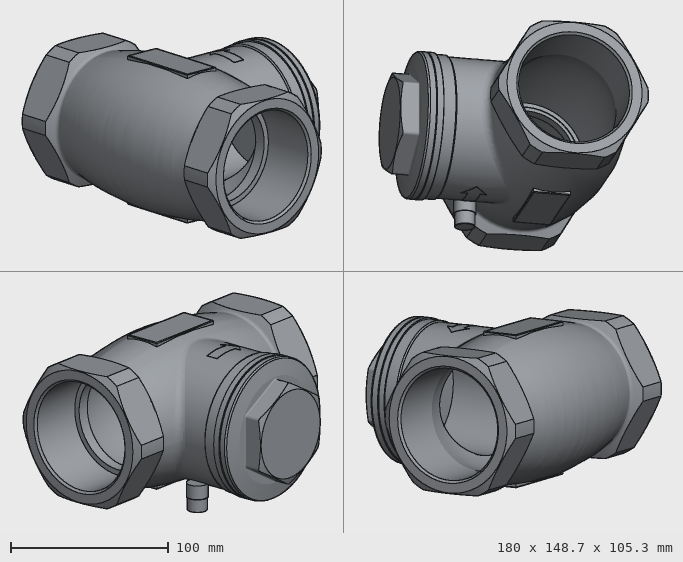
import cadquery as cq
import math

LENGTH = 180.0
HALF_LENGTH = LENGTH / 2
HEX_HALF_ANGLE = 30.0

HEX_FLATS = 88.7
HEX_CORNER_R = 48.8
HEX_FACE_R = 44.0
CHAMFER_ANGLE = 30.0
CHAMFER_SLOPE = math.tan(math.radians(CHAMFER_ANGLE))
OUTER_CHAMFER = (HEX_CORNER_R - HEX_FACE_R) * CHAMFER_SLOPE
HEX_INNER_X = 65.3

BARREL_R = 49.7
BARREL_END_R = 42.1
BARREL_END_X = 59.8
NECK_X = 62.3
NECK_R = HEX_CORNER_R - (HEX_INNER_X - NECK_X) / CHAMFER_SLOPE
NECK_SAG = 0.45
NECK_MID_X = (BARREL_END_X + NECK_X) / 2
NECK_MID_R = (BARREL_END_R + NECK_R) / 2 - NECK_SAG

PORT_D = 72.2
PORT_MOUTH_D = 75.2
PORT_DEPTH = 38.7
PORT_END_X = HALF_LENGTH - PORT_DEPTH
SEAT_D = 65.0
SEAT_THICKNESS = 7.2
SEAT_RING_D = 70.0
SEAT_RING_HEIGHT = 0.9
WALL = 6.1

BONNET_D = 90.0
BONNET_FILLET = 5.4
COLLAR_D = 92.0
COLLAR_Y = 65.9
COLLAR_CHAMFER = 0.9
CAP_D = 94.0
CAP_Y = 74.7
CAP_RIM_Y = 84.8
CAP_CHAMFER_HEIGHT = 1.3
CAP_CHAMFER_WIDTH = 0.7
GROOVE_Y = 79.2
GROOVE_WIDTH = 0.5
GROOVE_DEPTH = 0.5
CROWN_D = 71.0
CROWN_Y = 86.5
CAP_HEX_FLATS = 59.4
CAP_HEX_EDGE_R = 2.3
CAP_HEX_BASE_FILLET = 0.7
CAP_HEX_TOP_D = 58.3
CAP_HEX_CHAMFER = 1.8
CAP_TOP_Y = 99.0

PLATE_LENGTH = 56.2
PLATE_WIDTH = 24.3
PLATE_Z = 49.3
PLATE_ROOT_Z = 46.6
PLATE_CHAMFER = 0.5
ARROW_Y = 45.4
ARROW_HALF_LENGTH = 13.3
ARROW_HEAD_LENGTH = 8.5
ARROW_HEAD_HALF_WIDTH = 8.3
ARROW_SHAFT_HALF_WIDTH = 4.1
ARROW_HEIGHT = 0.2
PIN_X = 26.1
PIN_Y = 44.0
PIN_D = 13.0
PIN_END_Z = -56.0
PIN_CHAMFER = 0.4
PIN_BOSS_D = 14.0
PIN_BOSS_END_Z = -47.2
PIN_ROOT_Z = -37.8


def hex_across_corners(flats):
    return flats / math.cos(math.radians(HEX_HALF_ANGLE))


def bonnet_cylinder(diameter, start_y, end_y):
    return cq.Workplane("XZ", origin=(0, start_y, 0)).circle(diameter / 2).extrude(start_y - end_y)


def make_barrel():
    profile = (
        cq.Workplane("XY")
        .moveTo(-BARREL_END_X, 0)
        .lineTo(-BARREL_END_X, BARREL_END_R)
        .threePointArc((0, BARREL_R), (BARREL_END_X, BARREL_END_R))
        .lineTo(BARREL_END_X, 0)
        .close()
    )
    barrel = profile.revolve(360, (0, 0, 0), (1, 0, 0))
    return barrel.intersect(cq.Workplane("XY").box(LENGTH, LENGTH, 2 * PLATE_Z))


def make_pipe_end():
    """Chamfered hexagon with its neck, on the +X side."""
    hexagon = (
        cq.Workplane("YZ", origin=(BARREL_END_X, 0, 0))
        .polygon(6, hex_across_corners(HEX_FLATS))
        .extrude(HALF_LENGTH - BARREL_END_X)
    )
    envelope = (
        cq.Workplane("XY")
        .moveTo(BARREL_END_X, 0)
        .lineTo(BARREL_END_X, BARREL_END_R)
        .threePointArc((NECK_MID_X, NECK_MID_R), (NECK_X, NECK_R))
        .lineTo(HEX_INNER_X, HEX_CORNER_R)
        .lineTo(HALF_LENGTH - OUTER_CHAMFER, HEX_CORNER_R)
        .lineTo(HALF_LENGTH, HEX_FACE_R)
        .lineTo(HALF_LENGTH, 0)
        .close()
        .revolve(360, (0, 0, 0), (1, 0, 0))
    )
    return hexagon.intersect(envelope)


def make_cap():
    rim_r = CAP_D / 2
    collar_r = COLLAR_D / 2
    groove_low = GROOVE_Y - GROOVE_WIDTH / 2
    groove_high = GROOVE_Y + GROOVE_WIDTH / 2
    outline = [
        (0, COLLAR_Y),
        (collar_r - COLLAR_CHAMFER, COLLAR_Y),
        (collar_r, COLLAR_Y + COLLAR_CHAMFER),
        (collar_r, CAP_Y),
        (rim_r, CAP_Y),
        (rim_r, groove_low),
        (rim_r - GROOVE_DEPTH, groove_low),
        (rim_r - GROOVE_DEPTH, groove_high),
        (rim_r, groove_high),
        (rim_r, CAP_RIM_Y - CAP_CHAMFER_HEIGHT),
        (rim_r - CAP_CHAMFER_WIDTH, CAP_RIM_Y),
        (CROWN_D / 2, CROWN_Y),
        (0, CROWN_Y),
    ]
    disc = cq.Workplane("XY").polyline(outline).close().revolve(360, (0, 0, 0), (0, 1, 0))

    height = CAP_TOP_Y - CROWN_Y
    corners = hex_across_corners(CAP_HEX_FLATS)
    hexagon = (
        cq.Workplane("XZ", origin=(0, CROWN_Y, 0))
        .transformed(rotate=(0, 0, HEX_HALF_ANGLE))
        .polygon(6, corners)
        .extrude(-height)
        .edges("|Y")
        .fillet(CAP_HEX_EDGE_R)
    )
    top_r = CAP_HEX_TOP_D / 2
    envelope = (
        cq.Workplane("XY")
        .moveTo(0, CROWN_Y)
        .lineTo(corners / 2, CROWN_Y)
        .lineTo(corners / 2, CAP_TOP_Y - CAP_HEX_CHAMFER)
        .lineTo(top_r, CAP_TOP_Y)
        .lineTo(0, CAP_TOP_Y)
        .close()
        .revolve(360, (0, 0, 0), (0, 1, 0))
    )
    cap = disc.union(hexagon.intersect(envelope))
    foot_reach = CROWN_D / 2 - CAP_HEX_BASE_FILLET
    foot = cq.selectors.BoxSelector(
        (-foot_reach, CROWN_Y - CAP_HEX_BASE_FILLET, -foot_reach),
        (foot_reach, CROWN_Y + CAP_HEX_BASE_FILLET, foot_reach),
        boundingbox=True,
    )
    return cap.edges(foot).fillet(CAP_HEX_BASE_FILLET)


def make_plate():
    return (
        cq.Workplane("XY", origin=(0, 0, PLATE_ROOT_Z))
        .rect(PLATE_LENGTH, PLATE_WIDTH)
        .extrude(PLATE_Z - PLATE_ROOT_Z)
        .faces(">Z")
        .chamfer(PLATE_CHAMFER)
    )


def make_arrow():
    """Raised arrow that follows the curve of the bonnet, pointing to -X."""
    head_x = ARROW_HEAD_LENGTH - ARROW_HALF_LENGTH
    outline = [
        (-ARROW_HALF_LENGTH, 0),
        (head_x, ARROW_HEAD_HALF_WIDTH),
        (head_x, ARROW_SHAFT_HALF_WIDTH),
        (ARROW_HALF_LENGTH, ARROW_SHAFT_HALF_WIDTH),
        (ARROW_HALF_LENGTH, -ARROW_SHAFT_HALF_WIDTH),
        (head_x, -ARROW_SHAFT_HALF_WIDTH),
        (head_x, -ARROW_HEAD_HALF_WIDTH),
    ]
    bonnet_r = BONNET_D / 2
    prism = (
        cq.Workplane("XY", origin=(0, ARROW_Y, bonnet_r - WALL))
        .polyline(outline)
        .close()
        .extrude(2 * WALL)
    )
    return prism.intersect(bonnet_cylinder(BONNET_D + 2 * ARROW_HEIGHT, 0, COLLAR_Y))


def make_pin():
    root = cq.Workplane("XY", origin=(PIN_X, PIN_Y, PIN_ROOT_Z))
    boss = root.circle(PIN_BOSS_D / 2).extrude(PIN_BOSS_END_Z - PIN_ROOT_Z)
    pin = root.circle(PIN_D / 2).extrude(PIN_END_Z - PIN_ROOT_Z).faces("<Z").chamfer(PIN_CHAMFER)
    return boss.union(pin)


def make_chamber():
    """Chamber between the ports, open into the bonnet, with the seat wall left at its +X end."""
    seat_x = PORT_END_X - SEAT_THICKNESS
    chamber = (
        cq.Workplane("XY")
        .moveTo(-PORT_END_X, 0)
        .lineTo(-PORT_END_X, PORT_D / 2)
        .threePointArc((0, BARREL_R - WALL), (PORT_END_X, PORT_D / 2))
        .lineTo(PORT_END_X, 0)
        .close()
        .revolve(360, (0, 0, 0), (1, 0, 0))
    )
    seat_side = cq.Workplane("YZ", origin=(seat_x, 0, 0)).circle(BARREL_R).extrude(SEAT_THICKNESS)
    seat_ring = (
        cq.Workplane("YZ", origin=(seat_x - SEAT_RING_HEIGHT, 0, 0))
        .circle(SEAT_RING_D / 2)
        .extrude(SEAT_RING_HEIGHT)
    )
    return chamber.cut(seat_side).cut(seat_ring).union(bonnet_cylinder(PORT_D, 0, CAP_Y))


def make_port():
    """Plain port with a chamfered mouth, on the +X side."""
    mouth_depth = (PORT_MOUTH_D - PORT_D) / 2
    port = cq.Workplane("YZ", origin=(PORT_END_X, 0, 0)).circle(PORT_D / 2).extrude(PORT_DEPTH)
    mouth = (
        cq.Workplane("YZ", origin=(HALF_LENGTH, 0, 0))
        .circle(PORT_MOUTH_D / 2)
        .workplane(offset=-mouth_depth)
        .circle(PORT_D / 2)
        .loft()
    )
    return port.union(mouth)


body = make_barrel().union(bonnet_cylinder(BONNET_D, 0, COLLAR_Y))
joint = cq.selectors.BoxSelector(
    (-BARREL_R, BONNET_FILLET, -BARREL_R),
    (BARREL_R, BARREL_R, BARREL_R),
)
body = body.edges(joint).fillet(BONNET_FILLET)

pipe_end = make_pipe_end()
plate = make_plate()
arrow = make_arrow()
port = make_port()

body = body.union(make_cap())
body = body.union(pipe_end).union(pipe_end.mirror("YZ"))
body = body.union(plate).union(plate.mirror("XY"))
body = body.union(arrow).union(arrow.mirror("XY"))
body = body.union(make_pin())

seat_bore = cq.Workplane("YZ").circle(SEAT_D / 2).extrude(PORT_END_X)
result = body.cut(make_chamber()).cut(seat_bore).cut(port).cut(port.mirror("YZ"))